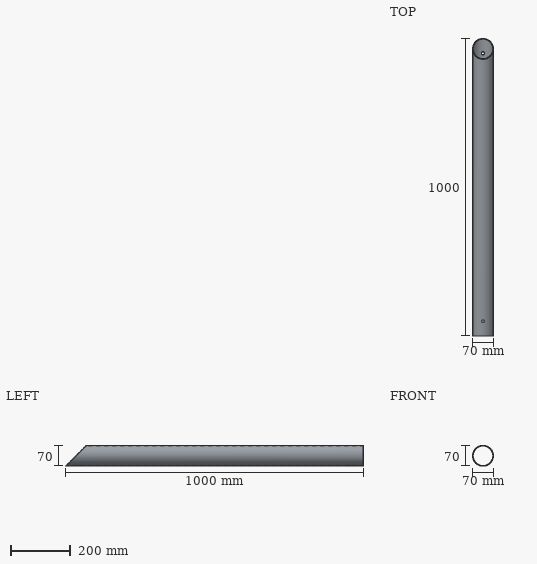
import cadquery as cq

length = 1000.0
outer_diameter = 70.0
inner_diameter = 66.0
outer_radius = outer_diameter / 2

mitre_setback = outer_diameter

hole_diameter = 10.0
hole_end_distance = 50.0
hole_positions = [hole_end_distance, length - hole_end_distance]


def mitred_rod():
    """Solid rod along +Y whose far end is cut by the mitre plane."""
    rod = cq.Workplane("XZ").circle(outer_radius).extrude(-length)
    mitre_waste = (
        cq.Workplane("YZ")
        .moveTo(length, -outer_radius)
        .lineTo(length, outer_radius)
        .lineTo(length - mitre_setback, outer_radius)
        .close()
        .extrude(outer_radius, both=True)
    )
    return rod.cut(mitre_waste)


def bottom_hole(y):
    """Vertical drill from the tube axis down through the bottom wall."""
    return cq.Workplane("XY").center(0, y).circle(hole_diameter / 2).extrude(-outer_diameter)


bore = cq.Workplane("XZ").circle(inner_diameter / 2).extrude(-length)
result = mitred_rod().cut(bore)
for hole_y in hole_positions:
    result = result.cut(bottom_hole(hole_y))